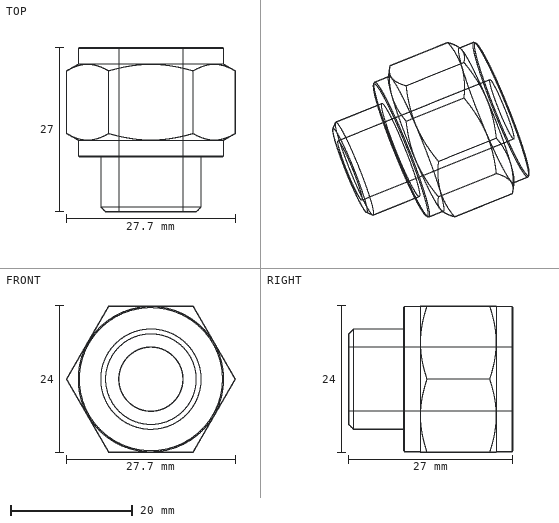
import cadquery as cq
import math

hex_across_corners = 27.7
hex_length = 12.5
collar_diameter = 23.89
collar_length = 2.75
collar_chamfer = 0.2
spigot_diameter = 16.5
spigot_length = 9.0
spigot_chamfer = 0.8
bore_diameter = 10.5
hex_bevel_angle = 30.0

body_length = hex_length + 2 * collar_length
total_length = body_length + spigot_length
hex_start = spigot_length + collar_length
hex_end = hex_start + hex_length


def cylinder(diameter, start, length):
    """Cylinder along +Y that begins at Y = start."""
    plane = cq.Workplane("XZ", origin=(0, start, 0))
    return plane.circle(diameter / 2).extrude(-length)


def beveled_hexagon():
    """Hexagonal grip whose corners are cut back by a cone at each end."""
    corner_radius = hex_across_corners / 2
    collar_radius = collar_diameter / 2
    bevel_depth = (corner_radius - collar_radius) * math.tan(math.radians(hex_bevel_angle))
    prism = (
        cq.Workplane("XZ", origin=(0, hex_start, 0))
        .polygon(6, hex_across_corners)
        .extrude(-hex_length)
    )
    bevel_envelope = (
        cq.Workplane("XY")
        .moveTo(0, hex_start)
        .lineTo(collar_radius, hex_start)
        .lineTo(corner_radius, hex_start + bevel_depth)
        .lineTo(corner_radius, hex_end - bevel_depth)
        .lineTo(collar_radius, hex_end)
        .lineTo(0, hex_end)
        .close()
        .revolve(360, (0, 0, 0), (0, 1, 0))
    )
    return prism.intersect(bevel_envelope)


collars = cylinder(collar_diameter, spigot_length, body_length).edges("%CIRCLE").chamfer(collar_chamfer)

spigot = cylinder(spigot_diameter, 0, hex_start).faces("<Y").edges().chamfer(spigot_chamfer)

bore = cylinder(bore_diameter, 0, total_length)

result = collars.union(beveled_hexagon()).union(spigot).cut(bore)